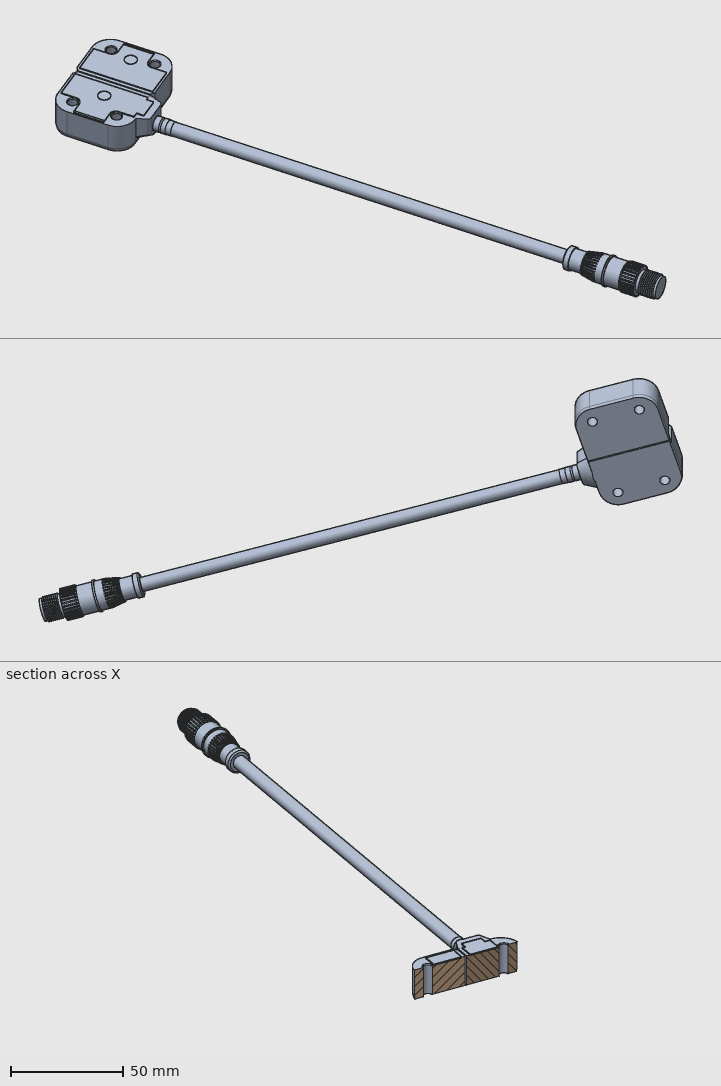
import cadquery as cq


overall_length = 295.0
overall_depth = 53.0
overall_height = 15.3
housing_length = 38.5
housing_gap = 0.5
corner_radius = 9.0
gap_corner_inset = 1.5
gap_corner_width = 1.92
foot_height = 1.8
foot_inset = 0.45

hole_diameter = 4.5
hole_spacing_x = 21.8
hole_spacing_y = 39.0
countersink_diameter = 5.3
countersink_depth = (countersink_diameter - hole_diameter) / 2

cover_thickness = 0.5
cover_lift = 0.3
cover_side_inset = 1.2
cover_inner_y = 2.2
cover_shoulder_y = 16.5
cover_end_y = 25.7
cover_ledge_length = 1.0
cover_ledge_drop = cover_lift / 2
cover_leg_width = 15.0
cover_corner_radius = 3.0
housing_height = overall_height - cover_lift
cover_base_z = overall_height - cover_thickness
target_diameter = 6.0
target_y_actuator = 17.0
target_y_sensor = -9.7
target_depth = 0.3

cable_y = -8.8
cable_z = 8.0
nose_end_x = 44.5
nose_end_width = 11.8
nose_base_width = 16.5
nose_corner_radius = 1.5
nose_cone_z = 10.3
nose_cone_end_radius = 7.5
nose_cone_base_radius = nose_cone_z
nose_cover_x = 41.0
nose_cover_width = 10.0

cable_diameter = 6.5
relief_diameter = 7.0
relief_tail_diameter = 6.8
relief_tail_x = 50.7
relief_end_x = 53.5
relief_groove_x = 47.5
relief_groove_width = 1.0

grip_start_x = 248.7
grip_collar_x = 249.3
grip_collar_end_x = 251.5
grip_cone_x = 257.8
grip_cone_end_x = 264.0
grip_mouth_radius = 4.7
grip_neck_radius = 5.0
grip_collar_radius = 5.5
grip_cone_radius = 5.5
grip_radius = 6.8
grip_flute_count = 32
grip_flute_end_x = 265.2
grip_flute_width = 0.53
grip_flute_depth = grip_radius - grip_neck_radius

nut_start_x = 269.0
nut_flange_width = 1.0
nut_radius = 6.8
nut_knurl_radius = 7.5
nut_knurl_x = 277.3
nut_knurl_bevel = 1.0
nut_knurl_end_x = 285.0
nut_knurl_count = 30
nut_knurl_width = 0.5
nut_knurl_depth = 0.45
thread_start_x = 286.5
thread_end_x = 293.8
thread_radius = 6.0
thread_root_radius = 5.3
thread_turns = 8

half_depth = overall_depth / 2
half_gap = housing_gap / 2
mid_x = housing_length / 2


def housing_prism(side, inset, height):
    """Square-edged housing plan with rounded outer corners, pulled in by inset; side is +1 or -1 along Y."""
    left = inset
    right = housing_length - inset
    outer = side * (half_depth - inset)
    inner = side * half_gap
    return (
        cq.Workplane("XY")
        .moveTo(left, inner)
        .lineTo(left, outer)
        .lineTo(right, outer)
        .lineTo(right, inner)
        .close()
        .extrude(height)
        .edges("|Z and " + (">Y" if side > 0 else "<Y"))
        .fillet(corner_radius - inset)
    )


def gap_corners(side):
    """Cutters for the bevels on the two upright edges of a housing beside the gap."""
    inner = side * half_gap
    left_corner = (
        cq.Workplane("XY", origin=(0, 0, foot_height))
        .moveTo(0, inner)
        .lineTo(gap_corner_inset, inner)
        .lineTo(0, inner + side * gap_corner_width)
        .close()
        .extrude(housing_height)
    )
    return left_corner.union(left_corner.mirror("YZ", (mid_x, 0, 0)))


def housing_block(side):
    """One housing whose foot tapers inwards to the mounting face."""
    body = housing_prism(side, 0, housing_height - foot_height).translate((0, 0, foot_height))
    foot_outline = body.faces("<Z").wires().val()
    base_outline = housing_prism(side, foot_inset, foot_height).faces("<Z").wires().val()
    foot = cq.Workplane(cq.Solid.makeLoft([base_outline, foot_outline], True))
    return body.cut(gap_corners(side)).union(foot)


def mounting_holes(side):
    """Cutters for the two countersunk through holes of one housing."""
    return (
        cq.Workplane("XY", origin=(mid_x, side * hole_spacing_y / 2, 0))
        .pushPoints([(-hole_spacing_x / 2, 0), (hole_spacing_x / 2, 0)])
        .circle(hole_diameter / 2)
        .extrude(housing_height - countersink_depth)
        .faces(">Z")
        .wires()
        .toPending()
        .extrude(countersink_depth, taper=-45)
    )


def nose_block():
    """Tapered outlet on the sensor, bevelled underneath."""
    nose = (
        cq.Workplane("XY")
        .moveTo(mid_x, cable_y - nose_base_width / 2)
        .lineTo(housing_length, cable_y - nose_base_width / 2)
        .lineTo(nose_end_x, cable_y - nose_end_width / 2)
        .lineTo(nose_end_x, cable_y + nose_end_width / 2)
        .lineTo(housing_length, cable_y + nose_base_width / 2)
        .lineTo(mid_x, cable_y + nose_base_width / 2)
        .close()
        .extrude(housing_height)
    )
    cone_growth = (nose_cone_base_radius - nose_cone_end_radius) / (nose_end_x - housing_length)
    cone_root_radius = nose_cone_end_radius + cone_growth * (nose_end_x - mid_x)
    lower_cone = (
        cq.Workplane("XY", origin=(0, cable_y, nose_cone_z))
        .moveTo(mid_x, 0)
        .lineTo(mid_x, cone_root_radius)
        .lineTo(nose_end_x, nose_cone_end_radius)
        .lineTo(nose_end_x, 0)
        .close()
        .revolve(360, (0, 0, 0), (1, 0, 0))
    )
    upper_block = (
        cq.Workplane("XY", origin=(mid_x, cable_y, nose_cone_z))
        .rect(2 * (nose_end_x - mid_x), 2 * nose_base_width)
        .extrude(housing_height)
    )
    return nose.edges("|Z and >X").fillet(nose_corner_radius).intersect(lower_cone.union(upper_block))


def cover_prism(side):
    """T-shaped cover plate without its target mark; the T's inner corners curve round the holes."""
    top = cq.Workplane("XY", origin=(0, 0, cover_base_z))
    bar_length = housing_length - 2 * cover_side_inset
    bar_width = cover_shoulder_y - cover_inner_y
    bar = (
        top.center(mid_x, side * (cover_inner_y + bar_width / 2))
        .rect(bar_length, bar_width)
        .extrude(cover_thickness)
    )
    leg = (
        top.center(mid_x, side * (cover_inner_y + cover_end_y) / 2)
        .rect(cover_leg_width, cover_end_y - cover_inner_y)
        .extrude(cover_thickness)
    )
    ledge = (
        cq.Workplane("XY", origin=(mid_x, side * (cover_end_y - cover_ledge_length / 2), overall_height))
        .rect(cover_leg_width, cover_ledge_length)
        .extrude(-cover_ledge_drop)
    )
    shoulder_corner = cq.selectors.BoxSelector(
        (mid_x - cover_leg_width, side * (cover_shoulder_y - cover_corner_radius), 0),
        (mid_x + cover_leg_width, side * (cover_shoulder_y + cover_corner_radius), overall_height),
    )
    return bar.union(leg).edges("|Z").edges(shoulder_corner).fillet(cover_corner_radius).cut(ledge)


def cover_tongue():
    """Part of the sensor cover that reaches into the nose."""
    tongue_length = nose_cover_x - mid_x
    return (
        cq.Workplane("XY", origin=(mid_x + tongue_length / 2, cable_y, cover_base_z))
        .rect(tongue_length, nose_cover_width)
        .extrude(cover_thickness)
    )


def target_mark(y):
    """Cutter for the round sunk target mark in a cover."""
    return (
        cq.Workplane("XY", origin=(mid_x, y, overall_height - target_depth))
        .circle(target_diameter / 2)
        .extrude(target_depth)
    )


def turned(points):
    """Solid of revolution about the cable axis from (x, radius) points."""
    profile = cq.Workplane("XY", origin=(0, cable_y, cable_z)).polyline(points).close()
    return profile.revolve(360, (0, 0), (1, 0))


def flutes(count, start_x, end_x, radius, width, depth):
    """Cutter for equally spaced lengthwise grooves around the cable axis."""
    length = end_x - start_x
    cutter = cq.Workplane("XY")
    for index in range(count):
        groove = (
            cq.Workplane("XY")
            .box(length, width, 2 * depth)
            .translate((start_x + length / 2, 0, radius))
            .rotate((0, 0, 0), (1, 0, 0), index * 360 / count)
        )
        cutter = cutter.add(groove)
    return cutter.combine().translate((0, cable_y, cable_z))


actuator_plate = cover_prism(1)
sensor_plate = cover_prism(-1).union(cover_tongue())

actuator = housing_block(1).cut(mounting_holes(1)).cut(actuator_plate)
sensor = housing_block(-1).union(nose_block()).cut(mounting_holes(-1)).cut(sensor_plate)
actuator_cover = actuator_plate.cut(target_mark(target_y_actuator))
sensor_cover = sensor_plate.cut(target_mark(target_y_sensor))

cable_radius = cable_diameter / 2
cable = turned([(nose_end_x, 0), (nose_end_x, cable_radius), (grip_start_x, cable_radius), (grip_start_x, 0)])

relief_radius = relief_diameter / 2
tail_radius = relief_tail_diameter / 2
groove_radius = (cable_radius + relief_radius) / 2
groove_end_x = relief_groove_x + relief_groove_width
strain_relief = turned([
    (nose_end_x, cable_radius),
    (nose_end_x, relief_radius),
    (relief_groove_x, relief_radius),
    (relief_groove_x, groove_radius),
    (groove_end_x, groove_radius),
    (groove_end_x, relief_radius),
    (relief_tail_x, relief_radius),
    (relief_tail_x, tail_radius),
    (relief_end_x, tail_radius),
    (relief_end_x, cable_radius),
])

grip = turned([
    (grip_start_x, 0),
    (grip_start_x, grip_mouth_radius),
    (grip_collar_x, grip_collar_radius),
    (grip_collar_end_x, grip_collar_radius),
    (grip_collar_end_x, grip_neck_radius),
    (grip_cone_x, grip_neck_radius),
    (grip_cone_x, grip_cone_radius),
    (grip_cone_end_x, grip_radius),
    (nut_start_x, grip_radius),
    (nut_start_x, 0),
])
grip = grip.cut(
    flutes(grip_flute_count, grip_cone_x, grip_flute_end_x, grip_radius, grip_flute_width, grip_flute_depth)
)


def nut_profile():
    """Half section of the coupling nut, with a ring groove for each thread turn."""
    flange_end_x = nut_start_x + nut_flange_width
    points = [
        (nut_start_x, 0),
        (nut_start_x, nut_knurl_radius),
        (flange_end_x, nut_knurl_radius),
        (flange_end_x, nut_radius),
        (nut_knurl_x, nut_radius),
        (nut_knurl_x + nut_knurl_bevel, nut_knurl_radius),
        (nut_knurl_end_x, nut_knurl_radius),
        (nut_knurl_end_x, thread_root_radius),
    ]
    pitch = (thread_end_x - thread_start_x) / thread_turns
    for turn in range(thread_turns):
        root_x = thread_start_x + turn * pitch
        points.append((root_x, thread_root_radius))
        points.append((root_x + pitch / 2, thread_radius))
    points += [
        (thread_end_x, thread_root_radius),
        (overall_length, thread_root_radius),
        (overall_length, 0),
    ]
    return points


nut = turned(nut_profile()).cut(
    flutes(nut_knurl_count, nut_knurl_x, nut_knurl_end_x, nut_knurl_radius, nut_knurl_width, nut_knurl_depth)
)

result = cq.Compound.makeCompound([
    actuator.val(),
    sensor.val(),
    actuator_cover.val(),
    sensor_cover.val(),
    strain_relief.val(),
    cable.val(),
    grip.val(),
    nut.val(),
])